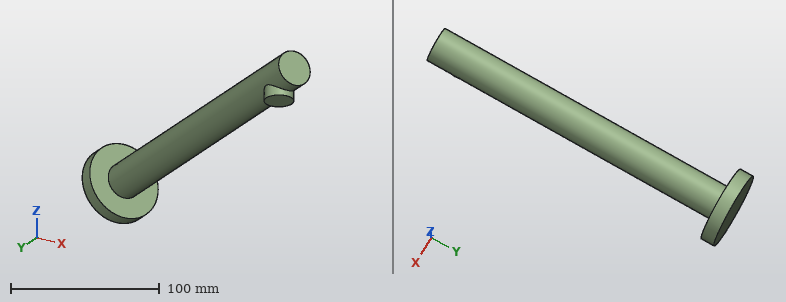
import cadquery as cq

total_length = 230.5

flange_diameter = 54.0
flange_thickness = 10.0

spout_diameter = 25.0
spout_length = total_length - flange_thickness

outlet_diameter = 20.0
outlet_setback = 20.0
outlet_drop = 16.5

wall_y = total_length / 2
flange_face_y = wall_y - flange_thickness
free_end_y = -wall_y
outlet_y = free_end_y + outlet_setback


def cylinder_along_y(diameter, start_y, length):
    """Solid cylinder on the Y axis, running from start_y towards -Y."""
    return (
        cq.Workplane("XZ", origin=(0, start_y, 0))
        .circle(diameter / 2)
        .extrude(length)
    )


def make_flange():
    """Round wall plate."""
    return cylinder_along_y(flange_diameter, wall_y, flange_thickness)


def make_spout():
    """Straight round arm that butts against the flange face."""
    return cylinder_along_y(spout_diameter, flange_face_y, spout_length)


def make_outlet(spout):
    """Short round nozzle under the spout, its top saddle-cut to the spout surface."""
    nozzle = (
        cq.Workplane("XY", origin=(0, outlet_y, -outlet_drop))
        .circle(outlet_diameter / 2)
        .extrude(outlet_drop)
    )
    return nozzle.cut(spout).solids()


flange = make_flange()
spout = make_spout()
outlet = make_outlet(spout)

result = cq.Compound.makeCompound([flange.val(), spout.val(), outlet.val()])